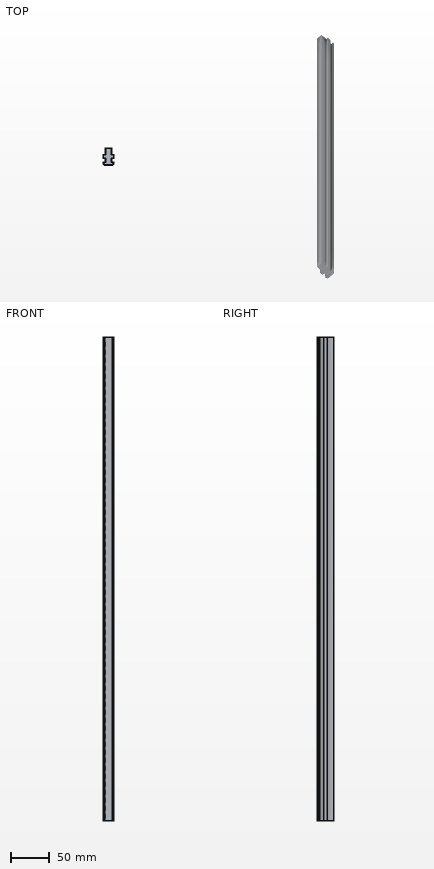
import cadquery as cq

length = 627.0
width = 14.0
depth = 22.0

neck_width = 8.0
flange_thickness = 5.0
web_width = 8.0
groove_opening = 4.75
corner_chamfer = 2.0

back = depth / 2
front = -depth / 2
side = width / 2
neck_side = neck_width / 2
web_side = web_width / 2
flange_back = flange_thickness / 2
flange_front = -flange_thickness / 2
base_back = flange_front - groove_opening


def section_outline():
    """Closed list of section points, starting at the back of the neck on the +X side."""
    right_half = [
        (neck_side, back),
        (neck_side, flange_back),
        (side, flange_back),
        (side, flange_front),
        (web_side, flange_front),
        (web_side, base_back),
        (side, base_back),
        (side, front + corner_chamfer),
        (side - corner_chamfer, front),
    ]
    left_half = [(-x, y) for x, y in reversed(right_half)]
    return right_half + left_half


result = (
    cq.Workplane("XY")
    .workplane(offset=-length / 2)
    .polyline(section_outline())
    .close()
    .extrude(length)
)